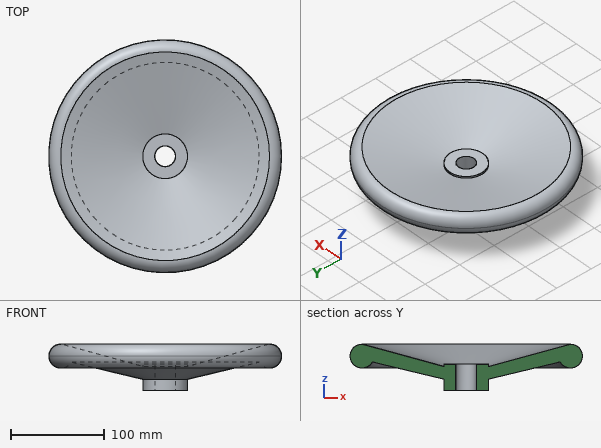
import cadquery as cq

outer_radius = 125.0
height = 50.0

rim_bar_radius = 13.0
rim_center_radius = outer_radius - rim_bar_radius
rim_center_z = height - rim_bar_radius

hub_radius = 24.0
hub_top_z = 28.2
bore_radius = 11.0

web_bottom_z = 12.0
web_top_z = 26.0
web_underside_slope = 0.24
web_underside_rim_z = web_bottom_z + web_underside_slope * (rim_center_radius - hub_radius)


def revolve_profile(points):
    """Revolve a closed (radius, z) outline around the wheel axis."""
    return cq.Workplane("XZ").polyline(points).close().revolve(360, (0, 0), (0, 1))


rim = (
    cq.Workplane("XZ")
    .center(rim_center_radius, rim_center_z)
    .circle(rim_bar_radius)
    .revolve(360, (-rim_center_radius, 0), (-rim_center_radius, 1))
)

web = revolve_profile([
    (0, web_bottom_z),
    (hub_radius, web_bottom_z),
    (rim_center_radius, web_underside_rim_z),
    (rim_center_radius, height),
    (hub_radius, web_top_z),
    (0, web_top_z),
])

dish = revolve_profile([
    (0, web_top_z),
    (hub_radius, web_top_z),
    (rim_center_radius, height),
    (0, height),
])

hub = cq.Workplane("XY").circle(hub_radius).extrude(hub_top_z)
bore = cq.Workplane("XY").circle(bore_radius).extrude(height)

result = rim.union(web).cut(dish).union(hub).cut(bore)